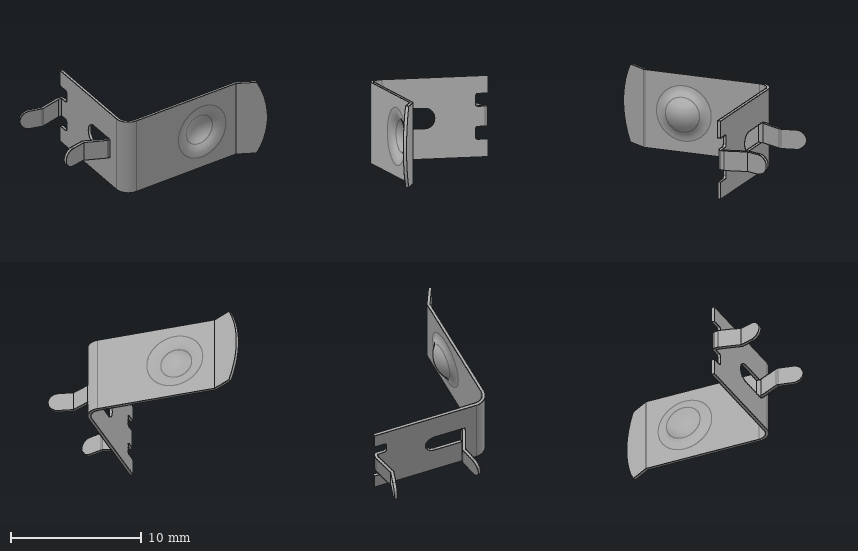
import cadquery as cq
import math

sheet = 0.25
width = 6.35
sharp_inside = 0

base_flat = 8.41
bend_radius = 1.08
leg_lean = 5.0
leg_flat = 9.45
lip_flare = 25.0
lip_length = 2.45
lip_rise = 0.84

dimple_y = 7.38
dimple_radius = 2.25
dome_radius = 1.41
dimple_height = 0.84

tab_width = 1.58
notch_size = 1.0
notch_corner = 0.2
slot_start = 4.22
left_tab_path = [(0, 0), (0, -0.3), (0.57, -2.04), (0.2, -3.8)]
right_tab_face = 7.45
right_tab_path = [(right_tab_face, 0), (right_tab_face, -0.17), (6.78, -1.92), (7.32, -3.83)]


def toward(start, degrees_from_y, length):
    """Point reached from start, with the angle measured from +Y toward +X."""
    angle = math.radians(degrees_from_y)
    return (start[0] + length * math.sin(angle), start[1] + length * math.cos(angle))


def left_normal(start, end):
    dx = end[0] - start[0]
    dy = end[1] - start[1]
    length = math.hypot(dx, dy)
    return (-dy / length, dx / length)


def folded_strip(path, strip_width, inside_radii):
    """Strip of sheet lying on the left of a path, bent at each inner point, centred on Z = 0."""
    normals = [left_normal(a, b) for a, b in zip(path, path[1:])]
    inner = []
    for point, before, after in zip(path, normals[:1] + normals, normals + normals[-1:]):
        reach = sheet / (1 + before[0] * after[0] + before[1] * after[1])
        inner.append((point[0] + reach * (before[0] + after[0]),
                      point[1] + reach * (before[1] + after[1])))
    outline = cq.Workplane("XY").polyline(path + inner[::-1]).close()
    strip = outline.extrude(strip_width / 2, both=True)

    for i, inside_radius in enumerate(inside_radii):
        turn = normals[i][0] * normals[i + 1][1] - normals[i][1] * normals[i + 1][0]
        convex, concave = path[i + 1], inner[i + 1]
        if turn < 0:
            convex, concave = concave, convex
        strip = round_fold(strip, convex, inside_radius + sheet)
        if inside_radius > 0:
            strip = round_fold(strip, concave, inside_radius)
    return strip


def round_fold(strip, corner, radius):
    nearest = cq.selectors.NearestToPointSelector((corner[0], corner[1], 0))
    return strip.edges("|Z").edges(nearest).fillet(radius)


def end_waste(path, end_width, rise):
    """Material outside the arc that rounds the last flat of a strip."""
    start, tip = path[-2:]
    normal = left_normal(start, tip)
    along = (normal[1], -normal[0], 0)
    face = cq.Plane(origin=(tip[0], tip[1], 0), xDir=along, normal=(normal[0], normal[1], 0))
    half = end_width / 2
    beyond = sheet
    return (
        cq.Workplane(face).workplane(offset=-sheet)
        .moveTo(-rise, -half)
        .threePointArc((0, 0), (-rise, half))
        .lineTo(beyond, half)
        .lineTo(beyond, -half)
        .close()
        .extrude(3 * sheet)
    )


def rounded_strip(path, strip_width, rise, inside_radii):
    strip = folded_strip(path, strip_width, inside_radii)
    return strip.cut(end_waste(path, strip_width, rise))


lean = math.radians(leg_lean)
bend_angle = math.radians(90 + leg_lean)
bend_setback = bend_radius * math.tan(bend_angle / 2)
fold = (base_flat + bend_setback, 0)
lip_fold = toward(fold, -leg_lean, bend_setback + leg_flat)
lip_tip = toward(lip_fold, lip_flare, lip_length)


def main_strip():
    path = [(0, 0), fold, lip_fold, lip_tip]
    return rounded_strip(path, width, lip_rise, [bend_radius - sheet, sharp_inside])


dome_slope = 2 * math.atan(dimple_height / dimple_radius)
dome_sphere = dome_radius / math.sin(dome_slope)
rim_fillet = (dimple_radius - dome_radius) / math.sin(dome_slope)


def dimple_plane():
    """Plane on the leg's inner face: local Y is the dimple axis, pointing inward."""
    on_outer = toward(fold, -leg_lean, dimple_y / math.cos(lean))
    axis = (-math.cos(lean), -math.sin(lean), 0)
    origin = (on_outer[0] + sheet * axis[0], on_outer[1] + sheet * axis[1], 0)
    up_leg = (-math.sin(lean), math.cos(lean), 0)
    return cq.Plane(origin=origin, xDir=up_leg, normal=(0, 0, 1))


def dimple_body(inset, floor):
    """Dome offset inward by inset, revolved from its skin down to the floor level."""
    sphere = dome_sphere - inset
    fillet = rim_fillet + inset
    peak = dimple_height - inset
    rim = -inset

    def on_dome(angle):
        return (sphere * math.sin(angle), peak - sphere * (1 - math.cos(angle)))

    def on_rim(angle):
        return (dimple_radius - fillet * math.sin(angle), rim + fillet * (1 - math.cos(angle)))

    return (
        cq.Workplane(dimple_plane())
        .moveTo(0, floor)
        .lineTo(0, peak)
        .threePointArc(on_dome(dome_slope / 2), on_dome(dome_slope))
        .threePointArc(on_rim(dome_slope / 2), (dimple_radius, rim))
        .lineTo(dimple_radius, floor)
        .close()
        .revolve(360, (0, 0), (0, 1))
    )


def add_dimple(body):
    shell_floor = -sheet / 2
    hollow_floor = -2 * sheet
    return body.union(dimple_body(0, shell_floor)).cut(dimple_body(sheet, hollow_floor))


def plate_cutter(x_start, x_end, z_middle, z_size):
    """Block through the thickness of the base plate."""
    size_x = x_end - x_start
    return cq.Workplane("XY").box(size_x, sheet, z_size).translate(
        (x_start + size_x / 2, sheet / 2, z_middle))


def cut_notches(body):
    offset = (tab_width + notch_size) / 2
    for side in (-1, 1):
        notch = plate_cutter(0, notch_size, side * offset, notch_size)
        body = body.cut(notch.edges("|Y and >X").fillet(notch_corner))
    return body


def cut_slot(body):
    round_centre = slot_start + tab_width / 2
    slot = plate_cutter(round_centre, right_tab_face - sheet, 0, tab_width)
    round_end = cq.Workplane("XZ").center(round_centre, 0).circle(tab_width / 2).extrude(-sheet)
    return body.cut(slot.union(round_end))


def tab(path):
    return rounded_strip(path, tab_width, tab_width / 2, [sharp_inside, sharp_inside])


def right_tab():
    mirrored = [(-x, y) for x, y in right_tab_path]
    return tab(mirrored).mirror("YZ")


result = add_dimple(main_strip())
result = cut_slot(cut_notches(result))
result = result.union(tab(left_tab_path))
result = round_fold(result, (0, sheet), sheet)
result = result.union(right_tab())